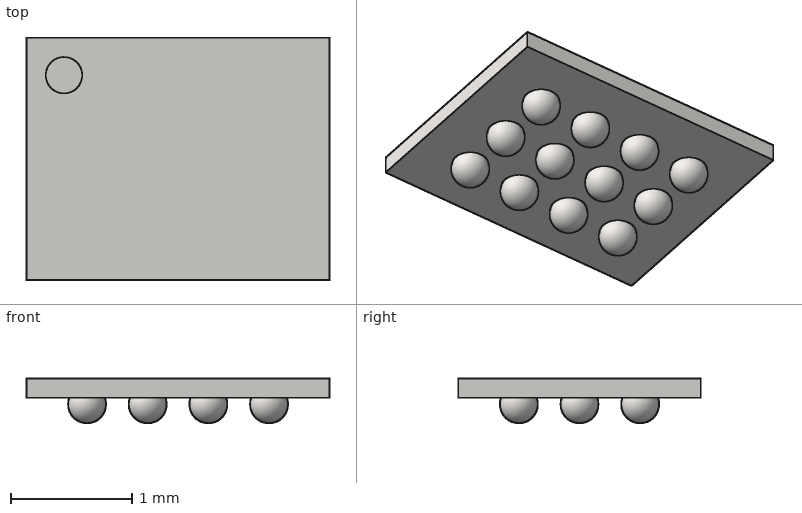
import cadquery as cq

body_length = 2.5
body_width = 2.0
total_height = 0.37
body_thickness = 0.16

ball_diameter = 0.315
ball_pitch = 0.5
ball_columns = 4
ball_rows = 3

mark_diameter = 0.3
mark_edge_distance = 0.31
mark_depth = 0.01

body_bottom = total_height - body_thickness
ball_radius = ball_diameter / 2


def make_body():
    return (
        cq.Workplane("XY")
        .workplane(offset=body_bottom)
        .rect(body_length, body_width)
        .extrude(body_thickness)
    )


def make_balls():
    """Grid of balls resting on Z = 0, with the part above the body's underside removed."""
    balls = (
        cq.Workplane("XY")
        .workplane(offset=ball_radius)
        .rarray(ball_pitch, ball_pitch, ball_columns, ball_rows)
        .eachpoint(lambda place: cq.Solid.makeSphere(ball_radius, angleDegrees1=-90).moved(place))
    )
    space_below_body = cq.Workplane("XY").box(
        body_length, body_width, body_bottom, centered=(True, True, False)
    )
    return balls.intersect(space_below_body)


def make_mark():
    return (
        cq.Workplane("XY")
        .workplane(offset=total_height - mark_depth)
        .center(mark_edge_distance - body_length / 2, body_width / 2 - mark_edge_distance)
        .circle(mark_diameter / 2)
        .extrude(mark_depth)
    )


result = make_body().union(make_balls()).cut(make_mark())